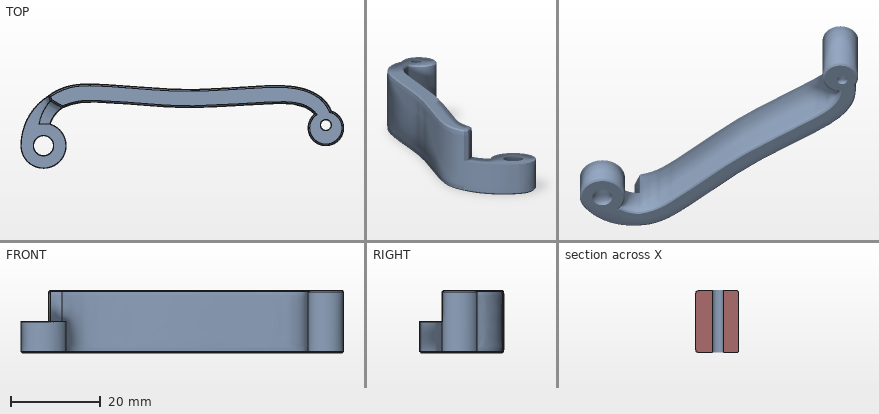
import cadquery as cq
import math

height = 14.0
hook_height = height / 2
overall_length = 72.05

eye_radius = 5.05
eye_hole_diameter = 4.5
hook_back_radius = 13.1

boss_x = 63.0
boss_y = 3.95
boss_radius = overall_length - eye_radius - boss_x
boss_hole_diameter = 2.4
boss_hole_y = 4.6

edge_chamfer = 0.35
arm_chamfer = 0.3
bevel_height = 1.15
bevel_depth = 0.11

tolerance = 0.001

joint_tip_y = 11.1
hook_back_center_x = hook_back_radius - eye_radius


def hook_back_point(y):
    """Point at height y on the arc that leaves the eye tangentially."""
    return (hook_back_center_x - math.sqrt(hook_back_radius**2 - y**2), y)


joint_tip = hook_back_point(joint_tip_y)
joint_shoulder = (1.5, 10.0)
joint_inner = (4.2, 8.4)

tongue_end_y = 4.8
tongue_outer_end = (-1.0, tongue_end_y)
tongue_outer_mid = (-0.1, 7.65)
tongue_inner_end = (math.sqrt(eye_radius**2 - tongue_end_y**2), tongue_end_y)
tongue_inner_mid = (2.5, 6.85)

outer_side = [
    (4.1, 12.8), (7.2, 13.6), (11.5, 13.75), (21.25, 13.1), (33.5, 12.5),
    (41.35, 12.9), (49.6, 13.4), (54.9, 13.3), (58.3, 12.7), (61.7, 11.0), (64.55, 6.9),
]
inner_side = [
    (61.15, 6.2), (58.4, 8.6), (55.7, 9.3), (52.7, 9.45), (47.8, 9.2), (39.2, 8.7),
    (32.6, 8.5), (21.55, 9.1), (11.75, 9.7), (8.5, 9.65), (6.05, 9.15), joint_inner,
]


def break_edges(blank, find_edges):
    """Cut the steep bevel, then the arm chamfer, along the edges that find_edges picks."""
    beveled = cq.Workplane(blank.val().chamfer(bevel_height, bevel_depth, find_edges(blank)))
    return cq.Workplane(beveled.val().chamfer(arm_chamfer, None, find_edges(beveled)))


def is_arm_side(edge):
    return edge.geomType() != "LINE"


def is_joint_end(edge):
    return edge.geomType() == "LINE" and edge.Center().x < joint_inner[0]


def find_beam_edges(beam):
    """Both long sides at top and bottom, plus the joint end at the top only."""
    top_edges = beam.faces(">Z").edges().vals()
    bottom_edges = beam.faces("<Z").edges().vals()
    top = [edge for edge in top_edges if is_arm_side(edge) or is_joint_end(edge)]
    return top + [edge for edge in bottom_edges if is_arm_side(edge)]


def find_tongue_edge(tongue):
    """Bottom edge along the inside of the hook."""
    inner_mid = cq.Vertex.makeVertex(*tongue_inner_mid, 0)
    bottom_edges = tongue.faces("<Z").edges().vals()
    return [edge for edge in bottom_edges if edge.distance(inner_mid) < 2 * bevel_depth]


def make_beam():
    """Free-form bar of the arm, with broken edges at its top and bottom."""
    outline = (
        cq.Workplane("XY")
        .moveTo(*joint_tip)
        .spline(outer_side, includeCurrent=True)
        .lineTo(*inner_side[0])
        .spline(inner_side[1:], includeCurrent=True)
        .lineTo(*joint_shoulder)
        .close()
    )
    return break_edges(outline.extrude(height), find_beam_edges)


def make_tongue():
    """Low strip that curves down from the arm end along the inside of the hook."""
    outline = (
        cq.Workplane("XY")
        .moveTo(*joint_shoulder)
        .threePointArc(tongue_outer_mid, tongue_outer_end)
        .lineTo(*tongue_inner_end)
        .threePointArc(tongue_inner_mid, joint_inner)
        .close()
    )
    return break_edges(outline.extrude(hook_height), find_tongue_edge)


def make_arm():
    boss = (
        cq.Workplane("XY")
        .center(boss_x, boss_y)
        .circle(boss_radius)
        .extrude(height)
        .edges("%CIRCLE")
        .chamfer(edge_chamfer)
    )
    boss_hole = (
        cq.Workplane("XY")
        .center(boss_x, boss_hole_y)
        .circle(boss_hole_diameter / 2)
        .extrude(height)
    )
    return make_beam().union(make_tongue()).union(boss).cut(boss_hole)


def make_hook():
    eye_diagonal = eye_radius * math.sqrt(0.5)
    outline = (
        cq.Workplane("XY")
        .moveTo(-eye_radius, 0)
        .threePointArc(hook_back_point(joint_tip_y / 2), joint_tip)
        .lineTo(*joint_shoulder)
        .threePointArc(tongue_outer_mid, tongue_outer_end)
        .lineTo(*tongue_inner_end)
        .threePointArc((eye_radius, 0), (0, -eye_radius))
        .threePointArc((-eye_diagonal, -eye_diagonal), (-eye_radius, 0))
        .close()
    )
    eye_hole = cq.Workplane("XY").circle(eye_hole_diameter / 2).extrude(hook_height)
    blank = outline.extrude(hook_height)
    outer_edges = [
        edge
        for edge in blank.faces("<Z").edges("%CIRCLE").vals()
        if abs(edge.radius() - eye_radius) < tolerance or abs(edge.radius() - hook_back_radius) < tolerance
    ]
    return blank.newObject(outer_edges).chamfer(edge_chamfer).cut(eye_hole)


arm = make_arm()
hook = make_hook()
result = cq.Compound.makeCompound([*arm.solids().vals(), *hook.solids().vals()])